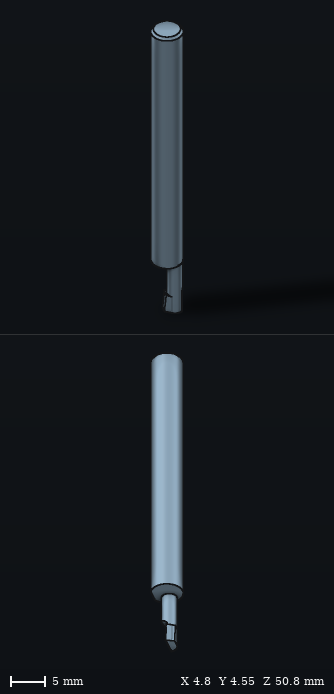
import cadquery as cq
import math

total_length = 50.8
shank_diameter = 4.8
shank_radius = shank_diameter / 2
flat_offset = 2.15
shank_bottom = 8.9
end_chamfer = 0.4

neck_diameter = 2.35
neck_radius = neck_diameter / 2
neck_x = shank_radius - neck_radius

rake_top = 3.75
runout_height = 1.0

head_height = 3.15
tip_x = -0.7
side_taper = 0.3
first_relief_width = 0.45
first_relief_depth = 0.75
second_relief_width = 0.3

end_rise_angle_x = 2.0
end_rise_angle_y = 6.0


def make_shank():
    shank = (
        cq.Workplane("XY")
        .workplane(offset=shank_bottom)
        .circle(shank_radius)
        .extrude(total_length - shank_bottom)
        .faces(">Z")
        .chamfer(end_chamfer)
    )
    flat_limit = cq.Workplane("XY").box(
        shank_diameter, shank_radius + flat_offset, total_length, centered=(True, False, False)
    )
    return shank.intersect(flat_limit.translate((0, -shank_radius, 0)))


def make_neck():
    neck = cq.Workplane("XY").center(neck_x, 0).circle(neck_radius).extrude(shank_bottom)
    rake_cut = (
        cq.Workplane("YZ")
        .polyline([
            (0, 0),
            (0, rake_top),
            (neck_radius, rake_top + runout_height),
            (neck_radius, 0),
        ])
        .close()
        .extrude(shank_diameter)
    )
    return neck.cut(rake_cut)


def head_outline(edge_x):
    """Cross-section of the head whose cutting edge lies at edge_x on the rake face."""
    first_relief_x = edge_x + first_relief_width
    return [
        (edge_x, 0),
        (first_relief_x, -first_relief_depth),
        (first_relief_x + second_relief_width, -neck_radius),
        (neck_x, -neck_radius),
        (neck_x, 0),
    ]


def make_head():
    return (
        cq.Workplane("XY")
        .polyline(head_outline(tip_x))
        .close()
        .workplane(offset=head_height)
        .polyline(head_outline(tip_x + side_taper))
        .close()
        .loft(ruled=True, combine=True)
    )


def make_end_clearance():
    """Solid below the bottom face, which passes through the cutting corner."""
    slope_x = math.tan(math.radians(end_rise_angle_x))
    slope_y = math.tan(math.radians(end_rise_angle_y))
    bottom_plane = cq.Plane(
        origin=(tip_x, 0, 0),
        xDir=(1, 0, slope_x),
        normal=(-slope_x, slope_y, 1),
    )
    cutter_size = 2 * shank_diameter
    return cq.Workplane(bottom_plane).rect(cutter_size, cutter_size).extrude(-shank_radius)


cutting_end = make_neck().union(make_head()).cut(make_end_clearance())
result = make_shank().union(cutting_end)